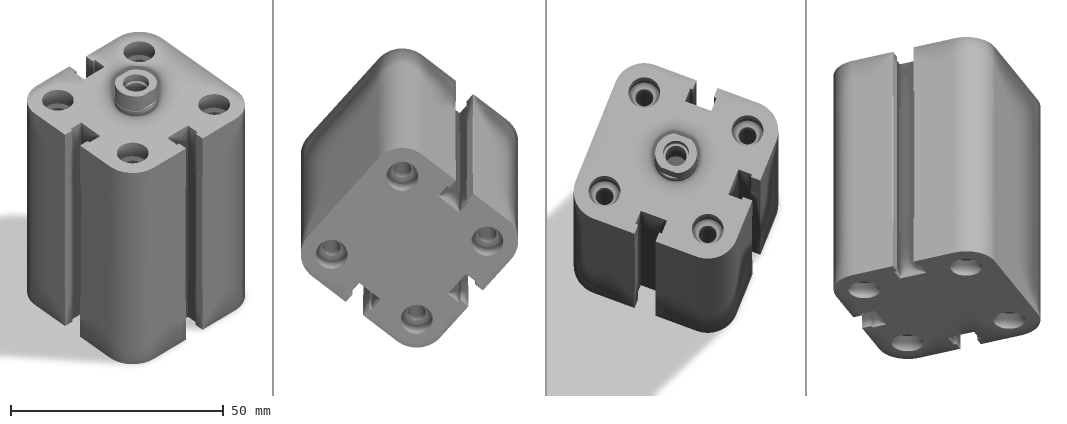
import cadquery as cq

WIDTH = 40.5
TOTAL_HEIGHT = 65.0
CAP_HEIGHT = 12.0
BARREL_HEIGHT = 35.0
FRONT_CAP_BASE = CAP_HEIGHT + BARREL_HEIGHT
HALF_WIDTH = WIDTH / 2

BOLT_OFFSET = 13.0
BOLT_DIAMETER = 4.2
COUNTERBORE_DIAMETER = 7.5
COUNTERBORE_DEPTH = 4.15
CORNER_RADIUS = HALF_WIDTH - BOLT_OFFSET

CAP_MOUTH_WIDTH = 5.25
CAP_LIP_DEPTH = 2.4
BARREL_MOUTH_WIDTH = 5.2
BARREL_LIP_DEPTH = 2.55
BARREL_SLOT_RADIUS = 0.3
SLOT_WIDTH = 6.6
SLOT_DEPTH = 5.8
SLOT_ANGLES = (0, 90, -90)

ROD_DIAMETER = 10.0
ROD_END_DIAMETER = 9.8
ROD_END_LENGTH = 4.4
ROD_TAPER_HEIGHT = 0.25
FLAT_LENGTH = 4.0
ACROSS_FLATS = 9.0
ROD_BORE_DIAMETER = 5.0
ROD_COUNTERBORE_DIAMETER = 6.2
ROD_COUNTERBORE_DEPTH = 2.0
ROD_BORE_DEPTH = 10.4


def slot_cutter(mouth_width, lip_depth, height):
    """T-shaped groove opening on the -Y side."""
    mouth = cq.Workplane("XY").box(mouth_width, lip_depth, height, centered=(True, False, False))
    chamber = cq.Workplane("XY").box(
        SLOT_WIDTH, SLOT_DEPTH - lip_depth, height, centered=(True, False, False)
    )
    cutter = mouth.union(chamber.translate((0, lip_depth, 0)))
    return cutter.translate((0, -HALF_WIDTH, 0))


def bolt_cylinders(diameter, height):
    """Four cylinders on the bolt positions, standing on Z = 0."""
    return (
        cq.Workplane("XY")
        .rect(2 * BOLT_OFFSET, 2 * BOLT_OFFSET, forConstruction=True)
        .vertices()
        .circle(diameter / 2)
        .extrude(height)
    )


def slotted_block(mouth_width, lip_depth, height):
    """Rounded square block with three T-slots and four through bolt holes."""
    block = (
        cq.Workplane("XY")
        .rect(WIDTH, WIDTH)
        .extrude(height)
        .edges("|Z")
        .fillet(CORNER_RADIUS)
    )
    for angle in SLOT_ANGLES:
        cutter = slot_cutter(mouth_width, lip_depth, height)
        block = block.cut(cutter.rotate((0, 0, 0), (0, 0, 1), angle))
    return block.cut(bolt_cylinders(BOLT_DIAMETER, height))


def round_slot_edges(block, radius):
    """Round the lips and the chamber corners of every slot."""
    margin = radius
    half_span = SLOT_WIDTH / 2 + margin
    slot_edges = cq.selectors.BoxSelector(
        (-half_span, -HALF_WIDTH - margin, 0),
        (half_span, -HALF_WIDTH + SLOT_DEPTH + margin, BARREL_HEIGHT),
    )
    for angle in SLOT_ANGLES:
        turned = block.rotate((0, 0, 0), (0, 0, 1), -angle)
        rounded = turned.edges("|Z").edges(slot_edges).fillet(radius)
        block = rounded.rotate((0, 0, 0), (0, 0, 1), angle)
    return block


def make_rear_cap():
    """Cap at the bottom, with its counterbores in the underside."""
    block = slotted_block(CAP_MOUTH_WIDTH, CAP_LIP_DEPTH, CAP_HEIGHT)
    return block.cut(bolt_cylinders(COUNTERBORE_DIAMETER, COUNTERBORE_DEPTH))


def make_barrel():
    """Extruded profile between the two caps."""
    block = slotted_block(BARREL_MOUTH_WIDTH, BARREL_LIP_DEPTH, BARREL_HEIGHT)
    block = round_slot_edges(block, BARREL_SLOT_RADIUS)
    return block.translate((0, 0, CAP_HEIGHT))


def make_front_cap():
    """Cap at the top, with its counterbores in the top face and a hole for the rod."""
    counterbores = bolt_cylinders(COUNTERBORE_DIAMETER, COUNTERBORE_DEPTH)
    rod_hole = cq.Workplane("XY").circle(ROD_DIAMETER / 2).extrude(CAP_HEIGHT)
    block = slotted_block(CAP_MOUTH_WIDTH, CAP_LIP_DEPTH, CAP_HEIGHT)
    block = block.cut(counterbores.translate((0, 0, CAP_HEIGHT - COUNTERBORE_DEPTH)))
    return block.cut(rod_hole).translate((0, 0, FRONT_CAP_BASE))


def make_piston_rod():
    """Rod standing on the barrel, with a reduced end, two wrench flats and a stepped bore."""
    rod_length = TOTAL_HEIGHT - FRONT_CAP_BASE
    rod_radius = ROD_DIAMETER / 2
    end_radius = ROD_END_DIAMETER / 2
    end_base = rod_length - ROD_END_LENGTH
    rod = (
        cq.Workplane("XZ")
        .lineTo(rod_radius, 0)
        .lineTo(rod_radius, end_base - ROD_TAPER_HEIGHT)
        .lineTo(end_radius, end_base)
        .lineTo(end_radius, rod_length)
        .lineTo(0, rod_length)
        .close()
        .revolve()
    )
    flats = (
        cq.Workplane("XY", origin=(0, 0, rod_length - FLAT_LENGTH))
        .rect(ROD_DIAMETER, ROD_DIAMETER)
        .rect(ACROSS_FLATS, ROD_DIAMETER)
        .extrude(FLAT_LENGTH)
    )
    bore_top = cq.Workplane("XY", origin=(0, 0, rod_length))
    bore = bore_top.circle(ROD_BORE_DIAMETER / 2).extrude(-ROD_BORE_DEPTH)
    counterbore = bore_top.circle(ROD_COUNTERBORE_DIAMETER / 2).extrude(-ROD_COUNTERBORE_DEPTH)
    rod = rod.cut(flats).cut(bore).cut(counterbore)
    return rod.translate((0, 0, FRONT_CAP_BASE))


rear_cap = make_rear_cap()
barrel = make_barrel()
front_cap = make_front_cap()
piston_rod = make_piston_rod()

result = cq.Compound.makeCompound(
    [rear_cap.val(), barrel.val(), front_cap.val(), piston_rod.val()]
)